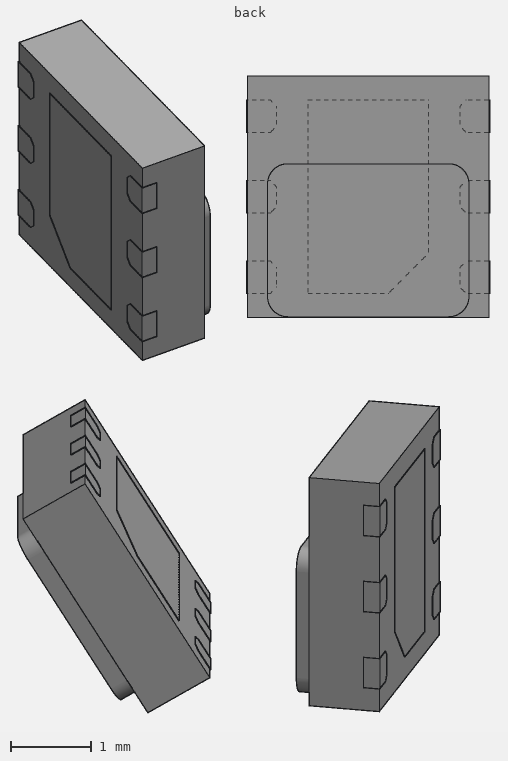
import cadquery as cq

overall_width = 3.02
overall_thickness = 1.14
side_proud = 0.01
front_proud = 0.01
body_thickness = 0.9

terminal_pitch = 1.0
terminal_width = 0.4
terminal_length = 0.37
terminal_depth = 0.21
terminal_chamfer = 0.075

pad_width = 1.5
pad_height = 2.4
pad_corner_cut = 0.5

boss_width = 2.5
boss_height = 1.9
boss_corner_radius = 0.25
boss_bottom_margin = 0.01

body_width = overall_width - 2 * side_proud
body_height = body_width
boss_thickness = overall_thickness - front_proud - body_thickness
boss_center_z = -body_height / 2 + boss_bottom_margin + boss_height / 2
contact_front = -front_proud


def block(width, thickness, height, center_x, front_y, center_z):
    """Box centred in X and Z whose front face lies at front_y."""
    center_y = front_y + thickness / 2
    return cq.Workplane("XY").box(width, thickness, height).translate((center_x, center_y, center_z))


def make_terminal(side, center_z):
    """Terminal on the left (side = -1) or right (side = 1), inner corners chamfered."""
    center_x = side * (overall_width - terminal_length) / 2
    inner_face = "<X" if side > 0 else ">X"
    terminal = block(terminal_length, terminal_depth, terminal_width, center_x, contact_front, center_z)
    return terminal.faces(inner_face).edges("|Y").chamfer(terminal_chamfer)


def make_thermal_pad():
    """Thin pad with its lower left corner cut off as the pin 1 mark."""
    pad = block(pad_width, front_proud, pad_height, 0, contact_front, 0)
    return pad.faces("<X").edges("|Y and <Z").chamfer(pad_corner_cut)


def make_boss():
    """Plate with rounded corners on the rear face."""
    boss = block(boss_width, boss_thickness, boss_height, 0, body_thickness, boss_center_z)
    return boss.edges("|Y").fillet(boss_corner_radius)


result = block(body_width, body_thickness, body_height, 0, 0, 0)
result = result.union(make_boss()).union(make_thermal_pad())
for side in (-1, 1):
    for row in (-1, 0, 1):
        result = result.union(make_terminal(side, row * terminal_pitch))